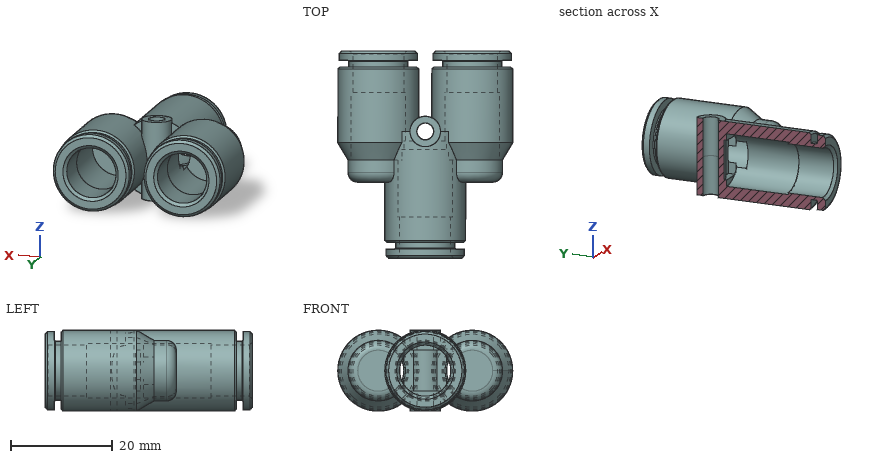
import cadquery as cq
import math


total_length = 40.9
width = 34.5
body_radius = 7.995
port_end = total_length / 2
outlet_offset = width / 2 - body_radius

rim_depth = 3.15
rim_chamfer = 0.4
flange_radius = 7.75
flange_thickness = 1.85
flange_chamfer = 0.55
neck_radius = 5.85
neck_flare_length = 0.25
neck_flare_height = 0.15

sleeve_bore_radius = 5.05
mouth_chamfer = 0.6
sleeve_length = 8.2
cavity_radius = 5.35
cavity_depth = 21.5

cone_top_y = 2.37
cone_bottom_y = -1.05
tail_radius = 5.97
tail_end_y = -5.45
tail_fillet = 1.92

eyelet_y = 4.6
eyelet_radius = 3.005
eyelet_hole_radius = 1.65

chamber_width = 8.4
chamber_height = 8.1
eyelet_wall_half_width = 2.31
chamber_end_y = eyelet_y - math.sqrt(eyelet_radius**2 - eyelet_wall_half_width**2)


def revolve_on_y(profile):
    """Revolve an XY half-profile around the Y axis."""
    return profile.close().revolve(360, (0, 0, 0), (0, 1, 0))


def start_at_mouth():
    """Half-profile of a +Y port: collar flange, neck and chamfered body rim."""
    flange_back_y = port_end - flange_thickness
    rim_y = port_end - rim_depth
    return (
        cq.Workplane("XY")
        .moveTo(0, port_end)
        .lineTo(flange_radius - flange_chamfer, port_end)
        .lineTo(flange_radius, port_end - flange_chamfer)
        .lineTo(flange_radius, flange_back_y)
        .lineTo(neck_radius + neck_flare_height, flange_back_y)
        .lineTo(neck_radius, flange_back_y - neck_flare_length)
        .lineTo(neck_radius, rim_y)
        .lineTo(body_radius - rim_chamfer, rim_y)
        .lineTo(body_radius, rim_y - rim_chamfer)
    )


def make_outlet_body():
    """Outlet barrel tapering to a rounded, closed tail."""
    profile = (
        start_at_mouth()
        .lineTo(body_radius, cone_top_y)
        .lineTo(tail_radius, cone_bottom_y)
        .lineTo(tail_radius, tail_end_y + tail_fillet)
        .radiusArc((tail_radius - tail_fillet, tail_end_y), tail_fillet)
        .lineTo(0, tail_end_y)
    )
    return revolve_on_y(profile)


def make_inlet_body():
    """Straight inlet barrel that ends level with the eyelet axis."""
    profile = start_at_mouth().lineTo(body_radius, -eyelet_y).lineTo(0, -eyelet_y)
    return face_backward(revolve_on_y(profile))


def make_passage():
    """Tube passage of a +Y port: chamfered mouth, sleeve bore and wider cavity."""
    sleeve_end_y = port_end - sleeve_length
    cavity_end_y = port_end - cavity_depth
    profile = (
        cq.Workplane("XY")
        .moveTo(0, port_end)
        .lineTo(sleeve_bore_radius + mouth_chamfer, port_end)
        .lineTo(sleeve_bore_radius, port_end - mouth_chamfer)
        .lineTo(sleeve_bore_radius, sleeve_end_y)
        .lineTo(cavity_radius, sleeve_end_y)
        .lineTo(cavity_radius, cavity_end_y)
        .lineTo(0, cavity_end_y)
    )
    return revolve_on_y(profile)


def face_backward(shape):
    """Turn a +Y port so that it opens toward -Y."""
    return shape.rotate((0, 0, 0), (0, 0, 1), 180)


def make_upright_cylinder(radius):
    """Vertical cylinder on the eyelet axis, as tall as the bodies."""
    return (
        cq.Workplane("XY")
        .center(0, eyelet_y)
        .circle(radius)
        .extrude(body_radius, both=True)
    )


def make_chamber():
    """Linking chamber, with the eyelet post left standing in its end wall."""
    chamber_start_y = cavity_depth - port_end
    chamber_length = chamber_end_y - chamber_start_y
    box = cq.Workplane("XY").box(chamber_width, chamber_length, chamber_height)
    box = box.translate((0, chamber_start_y + chamber_length / 2, 0))
    return box.cut(make_upright_cylinder(eyelet_radius))


result = make_inlet_body().union(make_upright_cylinder(eyelet_radius))
outlet_body = make_outlet_body()
for side in (-1, 1):
    result = result.union(outlet_body.translate((side * outlet_offset, 0, 0)))

passage = make_passage()
result = result.cut(face_backward(passage))
for side in (-1, 1):
    result = result.cut(passage.translate((side * outlet_offset, 0, 0)))
result = result.cut(make_chamber())

result = result.cut(make_upright_cylinder(eyelet_hole_radius))